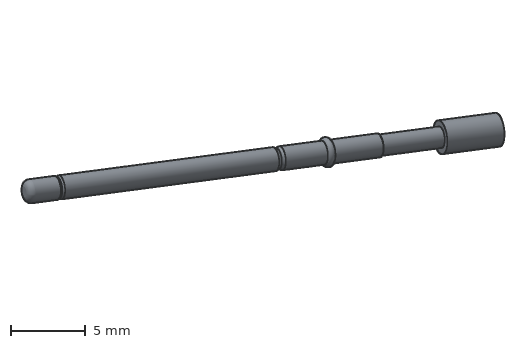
import cadquery as cq

total_length = 34.8

head_diameter = 2.3
plunger_diameter = 1.45
barrel_diameter = 1.65
ring_diameter = 2.05

head_length = 4.2
plunger_length = 4.52
ring_width = 0.55
ring_setback = 3.55
upper_groove_setback = 7.45
lower_groove_height = 2.47

tip_radius = 0.45
upper_groove_width = 0.5
lower_groove_width = 0.3
groove_depth = 0.1

tip_y = -total_length / 2
head_end_y = total_length / 2
head_base_y = head_end_y - head_length
barrel_mouth_y = head_base_y - plunger_length
ring_start_y = barrel_mouth_y - ring_setback - ring_width


def rod(diameter, start_y, end_y):
    """Round bar on the Y axis between two places."""
    return (
        cq.Workplane("XZ", origin=(0, start_y, 0))
        .circle(diameter / 2)
        .extrude(start_y - end_y)
    )


def groove(middle_y, width):
    """Cutter for a shallow V groove around the barrel."""
    surface = barrel_diameter / 2
    return (
        cq.Workplane("XY")
        .moveTo(surface, middle_y - width / 2)
        .lineTo(surface - groove_depth, middle_y)
        .lineTo(surface, middle_y + width / 2)
        .close()
        .revolve(360, (0, 0, 0), (0, 1, 0))
    )


def rounded_ring(start_y, end_y):
    """Press ring whose outside is a single arc rising from the barrel surface."""
    surface = barrel_diameter / 2
    return (
        cq.Workplane("XY")
        .moveTo(0, start_y)
        .lineTo(surface, start_y)
        .threePointArc((ring_diameter / 2, (start_y + end_y) / 2), (surface, end_y))
        .lineTo(0, end_y)
        .close()
        .revolve(360, (0, 0, 0), (0, 1, 0))
    )


barrel = rod(barrel_diameter, tip_y, barrel_mouth_y).faces("<Y").edges().fillet(tip_radius)

ring = rounded_ring(ring_start_y, ring_start_y + ring_width)

plunger = rod(plunger_diameter, barrel_mouth_y, head_base_y)
head = rod(head_diameter, head_base_y, head_end_y)

result = (
    barrel.union(ring)
    .union(plunger)
    .union(head)
    .cut(groove(barrel_mouth_y - upper_groove_setback, upper_groove_width))
    .cut(groove(tip_y + lower_groove_height, lower_groove_width))
)